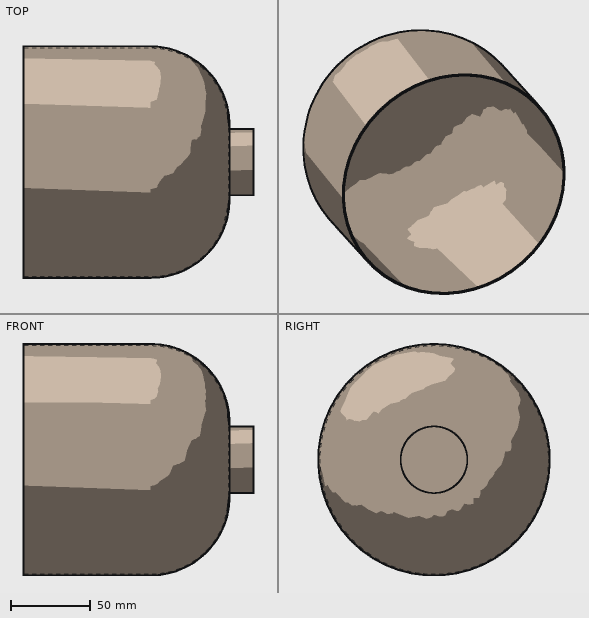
import cadquery as cq

outer_radius = 73.0
wall = 1.0
skirt_length = 80.0
dome_radius = 50.0
stub_radius = 21.0
stub_length = 15.0

crown_radius = outer_radius - dome_radius
crown_x = skirt_length + dome_radius

inner_radius = outer_radius - wall
inner_dome_radius = dome_radius - wall
inner_crown_x = crown_x - wall


def bell():
    """Skirt and dome, with a round opening in the crown that the stub fills."""
    profile = (
        cq.Workplane("XZ")
        .moveTo(0, inner_radius)
        .lineTo(0, outer_radius)
        .lineTo(skirt_length, outer_radius)
        .radiusArc((crown_x, crown_radius), dome_radius)
        .lineTo(crown_x, stub_radius)
        .lineTo(inner_crown_x, stub_radius)
        .lineTo(inner_crown_x, crown_radius)
        .radiusArc((skirt_length, inner_radius), -inner_dome_radius)
        .close()
    )
    return profile.revolve(360, (0, 0, 0), (1, 0, 0))


def stub():
    """Solid round stub, its root flush with the inner face of the crown."""
    root = cq.Workplane("YZ").workplane(offset=inner_crown_x)
    return root.circle(stub_radius).extrude(wall + stub_length)


result = bell().union(stub(), clean=False)